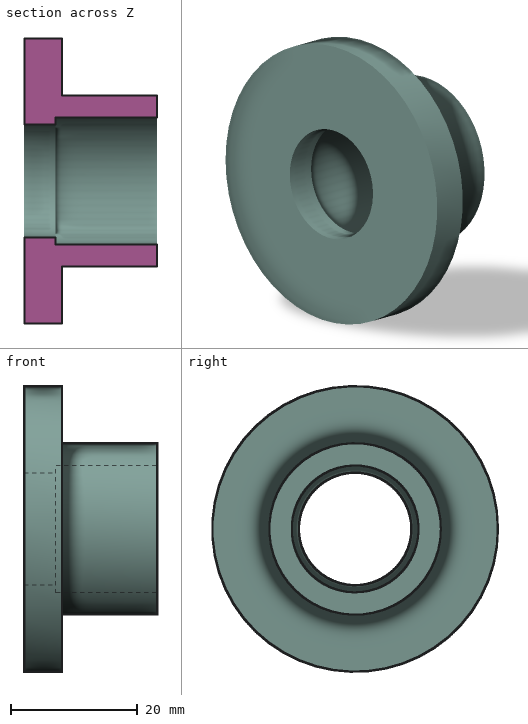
import cadquery as cq

flange_diameter = 45.0
flange_thickness = 6.0
sleeve_diameter = 27.0
total_length = 21.0
bore_diameter = 17.7
counterbore_diameter = 20.0
lip_thickness = 5.0


def cylinder(diameter, start, end):
    """Solid cylinder along X between two positions."""
    return cq.Workplane("YZ").workplane(offset=start).circle(diameter / 2).extrude(end - start)


flange = cylinder(flange_diameter, 0, flange_thickness)
sleeve = cylinder(sleeve_diameter, 0, total_length)

bore = cylinder(bore_diameter, 0, total_length)
counterbore = cylinder(counterbore_diameter, lip_thickness, total_length)

result = flange.union(sleeve).cut(bore).cut(counterbore)